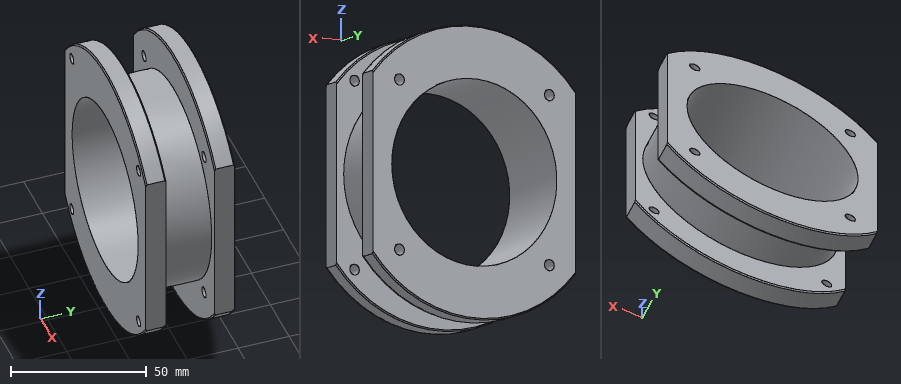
import cadquery as cq

flange_diameter = 110.0
flange_width = 86.0
total_length = 35.0
flange_thickness = 8.0
rim_chamfer = 0.5

hub_diameter = 80.0
bore_diameter = 70.0

front_hole_diameter = 4.0
front_hole_circle_diameter = 100.0
back_hole_diameter = 4.13
back_hole_circle_diameter = 90.0
first_hole_angle = 45.0
holes_per_flange = 4


def cylinder(diameter, start_y, length):
    """Solid cylinder on the Y axis, growing along +Y from start_y."""
    return cq.Workplane("XZ", origin=(0, start_y, 0)).circle(diameter / 2).extrude(-length)


def flange(start_y, hole_diameter, hole_circle_diameter):
    """Round plate with chamfered rims, two flat sides and through holes, from start_y along +Y."""
    disc = cylinder(flange_diameter, start_y, flange_thickness).edges().chamfer(rim_chamfer)
    flat_sides = cq.Workplane("XY").box(flange_width, 2 * total_length, flange_diameter)
    holes = (
        cq.Workplane("XZ", origin=(0, start_y, 0))
        .polarArray(hole_circle_diameter / 2, first_hole_angle, 360, holes_per_flange)
        .circle(hole_diameter / 2)
        .extrude(-flange_thickness)
    )
    return disc.intersect(flat_sides).cut(holes)


front_y = -total_length / 2
back_flange_y = total_length / 2 - flange_thickness

hub = cylinder(hub_diameter, front_y, total_length)
bore = cylinder(bore_diameter, front_y, total_length)
front_flange = flange(front_y, front_hole_diameter, front_hole_circle_diameter)
back_flange = flange(back_flange_y, back_hole_diameter, back_hole_circle_diameter)

result = hub.union(front_flange).union(back_flange).cut(bore)